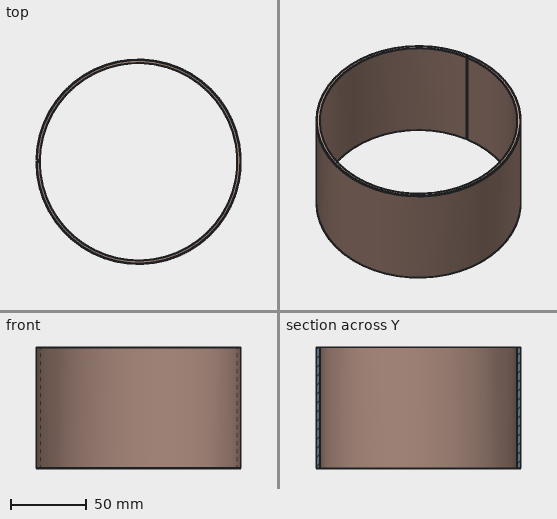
import cadquery as cq

outer_diameter = 135.0
wall = 2.5
height = 80.0
gap_angle = 1.0
outer_chamfer = 0.5
inner_chamfer = 0.3

outer_radius = outer_diameter / 2
inner_radius = outer_radius - wall

wall_section = (
    cq.Workplane("XZ")
    .moveTo(-inner_radius - inner_chamfer, 0)
    .lineTo(-outer_radius + outer_chamfer, 0)
    .lineTo(-outer_radius, outer_chamfer)
    .lineTo(-outer_radius, height - outer_chamfer)
    .lineTo(-outer_radius + outer_chamfer, height)
    .lineTo(-inner_radius - inner_chamfer, height)
    .lineTo(-inner_radius, height - inner_chamfer)
    .lineTo(-inner_radius, inner_chamfer)
    .close()
)

result = wall_section.revolve(360 - gap_angle, (0, 0, 0), (0, 1, 0))